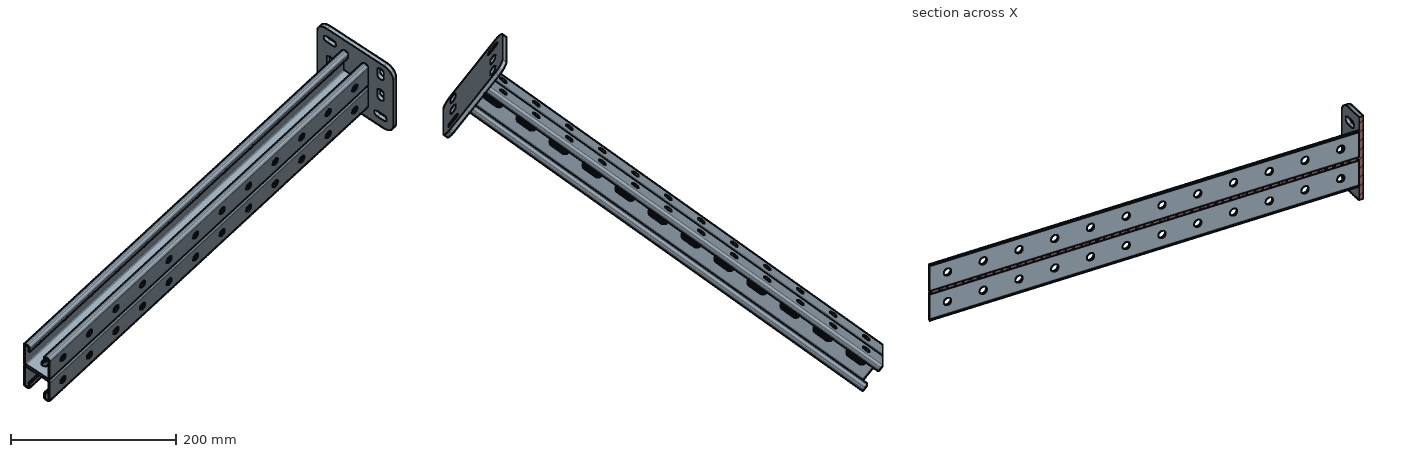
import cadquery as cq

overall_length = 606.0
plate_size = 120.0
plate_thickness = 6.0
plate_corner_radius = 15.0
arm_length = overall_length - plate_thickness

arm_height = 82.0
channel_height = arm_height / 2
channel_width = 41.0
sheet = 2.5
outer_bend = 3.5
inner_bend = outer_bend - sheet
lip_flat = 2.55
lip_width = 2 * outer_bend + lip_flat
lip_depth = 10.0

hole_diameter = 10.0
hole_count = 12
hole_pitch = arm_length / hole_count
hole_height = 21.0
web_slot_length = 27.0

plate_slot_width = 10.0
plate_slot_length = 20.0
plate_slot_offset = 40.0


def plate_slot_angle(column, row):
    """Angle of a slot from X: upright, except for the two on one diagonal, which lie flat."""
    lies_flat = column * row < 0
    return 0 if lies_flat else 90


def make_plate():
    plate = (
        cq.Workplane("XZ")
        .rect(plate_size, plate_size)
        .extrude(-plate_thickness)
        .edges("|Y")
        .fillet(plate_corner_radius)
    )
    for column in (-1, 1):
        for row in (-1, 0, 1):
            slot = (
                cq.Workplane("XZ")
                .center(column * plate_slot_offset, row * plate_slot_offset)
                .slot2D(plate_slot_length, plate_slot_width, plate_slot_angle(column, row))
                .extrude(-plate_thickness)
            )
            plate = plate.cut(slot)
    return plate


def folded_strip(width, height):
    """Sheet folded to a U as long as the arm, standing on Z = 0 and open at the top."""
    outside = (
        cq.Workplane("XZ")
        .center(0, height / 2)
        .rect(width, height)
        .extrude(arm_length)
        .edges("|Y and <Z")
        .fillet(outer_bend)
    )
    inside = (
        cq.Workplane("XZ")
        .center(0, (height + sheet) / 2)
        .rect(width - 2 * sheet, height - sheet)
        .extrude(arm_length)
        .edges("|Y and <Z")
        .fillet(inner_bend)
    )
    return outside.cut(inside)


def make_channel():
    """Upward-opening channel whose lips fold inward and then down."""
    channel = folded_strip(channel_width, channel_height - outer_bend)
    lip = folded_strip(lip_width, lip_depth).mirror("XY")
    for side in (-1, 1):
        lip_center = side * (channel_width - lip_width) / 2
        channel = channel.union(lip.translate((lip_center, 0, channel_height)))
    return channel


def make_arm():
    upper = make_channel()
    lower = upper.mirror("XY")
    arm = upper.union(lower)
    stations = [-(index + 0.5) * hole_pitch for index in range(hole_count)]
    web_slots = (
        cq.Workplane("XY")
        .pushPoints([(0, y) for y in stations])
        .slot2D(web_slot_length, hole_diameter, 90)
        .extrude(sheet, both=True)
    )
    wall_holes = (
        cq.Workplane("YZ")
        .pushPoints([(y, side * hole_height) for y in stations for side in (-1, 1)])
        .circle(hole_diameter / 2)
        .extrude(channel_width, both=True)
    )
    return arm.cut(web_slots).cut(wall_holes)


result = make_plate().union(make_arm())